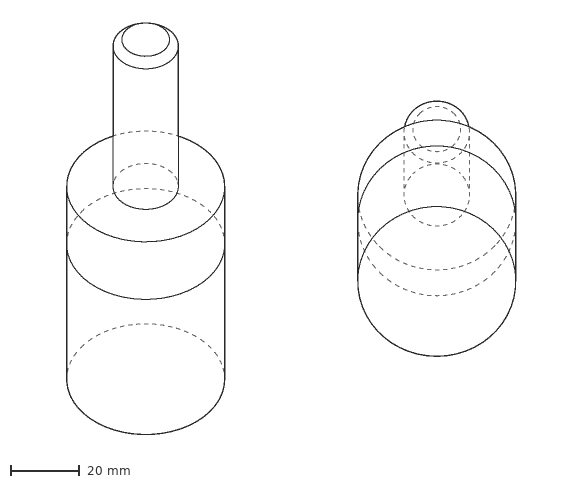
import cadquery as cq

total_height = 152.4
body_diameter = 46.0
shank_diameter = 19.0

tip_height = 13.9
joint_height = 69.0
shoulder_height = 92.5

chamfer_height = 2.6
chamfer_width = 2.6

body_radius = body_diameter / 2
shank_radius = shank_diameter / 2


def make_pointed_plug():
    """Lower body: a cylinder that ends in a conical point."""
    return (
        cq.Workplane("XZ")
        .moveTo(0, 0)
        .lineTo(body_radius, tip_height)
        .lineTo(body_radius, joint_height)
        .lineTo(0, joint_height)
        .close()
        .revolve(360, (0, 0), (0, 1))
    )


def make_shank_holder():
    """Upper body: a collar with a chamfered shank, resting on the plug."""
    return (
        cq.Workplane("XZ")
        .moveTo(0, joint_height)
        .lineTo(body_radius, joint_height)
        .lineTo(body_radius, shoulder_height)
        .lineTo(shank_radius, shoulder_height)
        .lineTo(shank_radius, total_height - chamfer_height)
        .lineTo(shank_radius - chamfer_width, total_height)
        .lineTo(0, total_height)
        .close()
        .revolve(360, (0, 0), (0, 1))
    )


pointed_plug = make_pointed_plug()
shank_holder = make_shank_holder()

result = cq.Compound.makeCompound([pointed_plug.val(), shank_holder.val()])